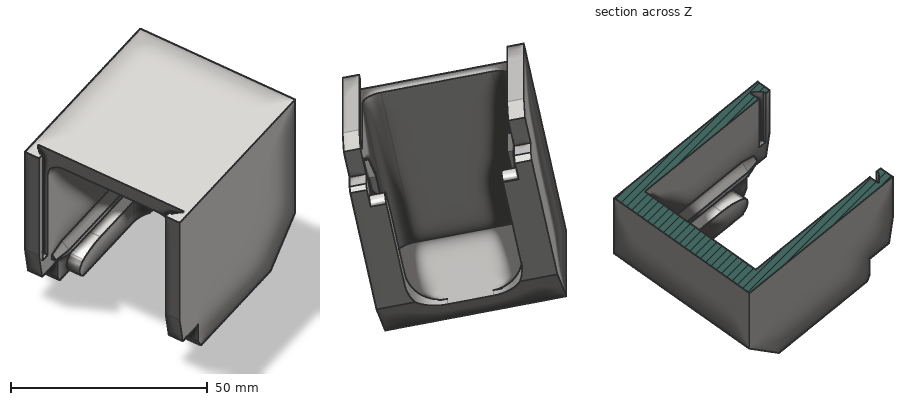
import cadquery as cq
import math

width = 47.0
depth = 53.5
height = 51.61

side_wall = 4.31
roof = 4.5
back_wall = 7.0
cavity_radius = 4.8
left_side_raise = 0.41

back_chamfer = 11.35
taper_start_z = 17.1
taper_setback = 1.45
step_z = 8.33
step_y = 8.65
foot_chamfer_y = 1.15
foot_chamfer_z = 2.3

slot_back_y = 4.05
slot_edge_inset = 1.5
slot_straight = 0.45
slot_front_y = 1.65
slot_floor_z = 14.0

ledge_top_z = 7.68
ledge_width = 4.06
ledge_corner_radius = 9.15
nose_start_y = 22.3
nose_shoulder_y = 14.5
nose_shoulder_z = 6.0
nose_end_y = 14.35
nose_end_z = 0.41

rail_bottom_z = 9.98
rail_projection = 2.18
rail_edge_height = 1.6
rail_taper_start_y = 10.5
rail_tip_y = 6.0
rail_tip_inset = 0.95
rail_embed = 2.0

center_x = width / 2
cavity_back_y = depth - back_wall
inner_width = width - 2 * side_wall


def extrude_along_x(outline, x_start, length):
    """Extrude a YZ outline toward +X, starting from x_start."""
    return outline.extrude(length).translate((x_start, 0, 0))


def mirrored(shape):
    """The same shape on the opposite side of the housing."""
    return shape.mirror("YZ", (center_x, 0, 0))


def make_block():
    outline = (
        cq.Workplane("YZ")
        .moveTo(0, height)
        .lineTo(0, taper_start_z)
        .lineTo(taper_setback, step_z)
        .lineTo(step_y, step_z)
        .lineTo(step_y, foot_chamfer_z)
        .lineTo(step_y + foot_chamfer_y, 0)
        .lineTo(depth - back_chamfer, 0)
        .lineTo(depth, back_chamfer)
        .lineTo(depth, height)
        .close()
    )
    return extrude_along_x(outline, 0, width)


def make_cavity():
    """Inner space, open at the front and at the bottom."""
    chamber = (
        cq.Workplane("XY")
        .box(inner_width, cavity_back_y - slot_back_y, height - roof, centered=False)
        .translate((side_wall, slot_back_y, 0))
        .edges("|Y and >Z")
        .fillet(cavity_radius)
    )
    mouth = (
        cq.Workplane("XY")
        .box(inner_width, slot_back_y, height, centered=False)
        .translate((side_wall, 0, 0))
    )
    return chamber.union(mouth)


def make_slot():
    """Undercut groove in the left front lip, open at the top."""
    slant_start_y = slot_back_y - slot_straight
    slant = slant_start_y - slot_front_y
    return (
        cq.Workplane("XY", origin=(0, 0, slot_floor_z))
        .moveTo(slot_edge_inset, slot_back_y)
        .lineTo(slot_edge_inset, slant_start_y)
        .lineTo(slot_edge_inset + slant, slot_front_y)
        .lineTo(side_wall, slot_front_y)
        .lineTo(side_wall, slot_back_y)
        .close()
        .extrude(height - slot_floor_z)
    )


def make_floor():
    """Two round-nosed ledges joined at the back wall by rounded inner corners."""
    outline = (
        cq.Workplane("YZ")
        .moveTo(cavity_back_y, 0)
        .lineTo(cavity_back_y, ledge_top_z)
        .lineTo(nose_start_y, ledge_top_z)
        .tangentArcPoint((nose_shoulder_y, nose_shoulder_z), relative=False)
        .tangentArcPoint((nose_end_y, nose_end_z), relative=False)
        .lineTo(nose_end_y, 0)
        .close()
    )
    opening = (
        cq.Workplane("XY")
        .box(inner_width - 2 * ledge_width, cavity_back_y, ledge_top_z, centered=False)
        .translate((side_wall + ledge_width, 0, 0))
        .edges("|Z and >Y")
        .fillet(ledge_corner_radius)
    )
    return extrude_along_x(outline, side_wall, inner_width).cut(opening)


def make_rail():
    """Guide rail on the left wall: flat below, 45 degrees above, tapered front end."""
    root_x = side_wall - rail_embed
    edge_x = side_wall + rail_projection
    edge_top_z = rail_bottom_z + rail_edge_height
    outline = (
        cq.Workplane("XZ", origin=(0, rail_taper_start_y, 0))
        .moveTo(root_x, rail_bottom_z)
        .lineTo(edge_x, rail_bottom_z)
        .lineTo(edge_x, edge_top_z)
        .lineTo(root_x, edge_top_z + edge_x - root_x)
        .close()
    )
    tip_length = rail_taper_start_y - rail_tip_y
    tip_angle = math.degrees(math.atan2(rail_tip_inset, tip_length))
    tip = outline.extrude(tip_length, taper=tip_angle)
    tip_root = tip.faces(">Y").wires().toPending().workplane()
    bar = tip_root.extrude(cavity_back_y - rail_taper_start_y, combine=False)
    return bar.union(tip)


def make_left_trim():
    """Thin slice removed under the left half."""
    return cq.Workplane("XY").box(center_x, depth, left_side_raise, centered=False)


block = make_block()
slot = make_slot()
rail = make_rail()

result = block.cut(make_cavity())
result = result.union(make_floor().intersect(block))
result = result.union(rail).union(mirrored(rail))
result = result.cut(slot).cut(mirrored(slot))
result = result.cut(make_left_trim())